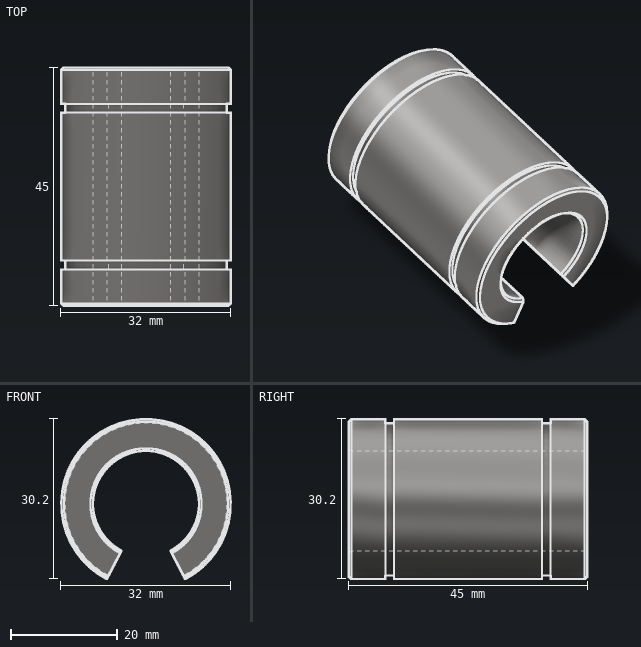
import cadquery as cq
import math

length = 45.0
outer_diameter = 32.0
bore_diameter = 20.0
edge_chamfer = 0.5

groove_diameter = 30.5
groove_width = 1.6
groove_outer_span = 31.2

opening_angle = 55.0

outer_radius = outer_diameter / 2
half_length = length / 2


def cylinder(diameter, height, y_center=0.0):
    """Solid cylinder along Y, centred at y_center."""
    return (
        cq.Workplane("XZ", origin=(0, y_center, 0))
        .circle(diameter / 2)
        .extrude(height / 2, both=True)
    )


def sleeve():
    """Plain tube with chamfered outer and bore edges at both ends."""
    tube = cylinder(outer_diameter, length).cut(cylinder(bore_diameter, length))
    return tube.faces("<Y or >Y").edges().chamfer(edge_chamfer)


def groove(y_center):
    """Ring of material removed for one retaining ring."""
    ring = cylinder(outer_diameter + edge_chamfer, groove_width, y_center)
    return ring.cut(cylinder(groove_diameter, groove_width, y_center))


def opening():
    """Wedge with its apex on the axis, reaching past the outside below."""
    depth = 2 * outer_radius
    half_width = depth * math.tan(math.radians(opening_angle / 2))
    return (
        cq.Workplane("XZ")
        .polyline([(0, 0), (half_width, -depth), (-half_width, -depth)])
        .close()
        .extrude(half_length, both=True)
    )


result = sleeve()
groove_offset = (groove_outer_span - groove_width) / 2
for side in (-1, 1):
    result = result.cut(groove(side * groove_offset))
result = result.cut(opening())